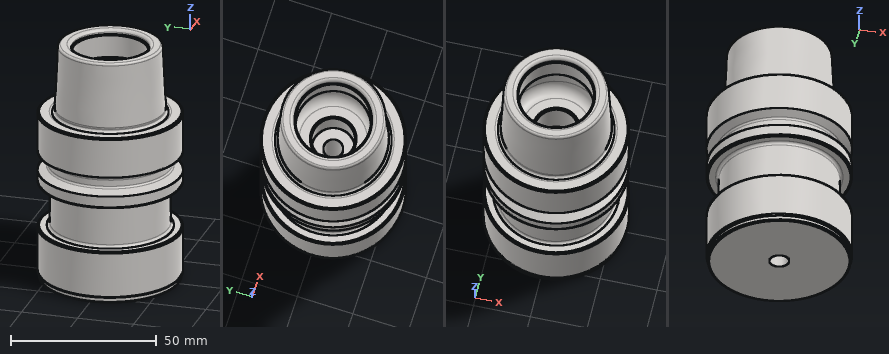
import cadquery as cq
import math

total_height = 85.9
outer_radius = 25.0
edge_chamfer = 0.5

shank_top_radius = 18.0
shank_base_radius = 19.15
shank_base_z = 62.6
shank_top_round = 0.9

relief_radius = 19.0
relief_top_z = 61.9
relief_round = 1.0
relief_round_top_z = 61.8
dish_floor_radius = relief_radius + relief_round
dish_rim_radius = 21.0

flange_top_z = 61.0
flange_bottom_z = 35.05
groove_radius = 21.5
groove_round = 0.9
groove_slope = math.radians(28)
groove_top_z = 46.6
groove_bottom_z = 39.5

neck_radius = 20.8
neck_round = 1.0

nut_height = 19.0
nut_step_radius = 24.5
nut_step_height = 1.9
nut_bottom_chamfer = 0.39
nut_floor = 5.0

collar_radius = neck_radius + neck_round

mouth_radius = 14.9
mouth_round = 1.55
mouth_round_end = 160
lip_radius = 13.3
lip_depth = 1.7
bore_radius = 13.0
bore_straight_depth = 10.05
chamber_radius = 16.0
chamber_slope = math.radians(30)
chamber_floor_radius = 11.7
chamber_round = chamber_radius - chamber_floor_radius
chamber_wall_depth = 19.75

screw_hole_radius = 7.5
screw_hole_depth = 12.0
screw_hole_chamfer = 0.5
through_hole_radius = 3.39


def arc(profile, centre, radius, start_degrees, end_degrees):
    """Continue the profile with a line to the start of an arc, then along the arc."""
    def on_arc(degrees):
        angle = math.radians(degrees)
        return (centre[0] + radius * math.cos(angle), centre[1] + radius * math.sin(angle))

    middle_degrees = (start_degrees + end_degrees) / 2
    profile = profile.lineTo(*on_arc(start_degrees))
    return profile.threePointArc(on_arc(middle_degrees), on_arc(end_degrees))


def revolve_about_z(profile):
    """Close a radius-height profile and turn it a full circle about Z."""
    return profile.close().revolve(360, (0, 0, 0), (0, 1, 0))


def shank_outline(profile):
    """Taper shank, its relief and the dished recess, from the top down."""
    lean = math.degrees(math.atan((shank_base_radius - shank_top_radius) / (total_height - shank_base_z)))
    lean_rise = shank_top_round * math.sin(math.radians(lean))
    round_centre = (shank_top_radius - shank_top_round + lean_rise, total_height - shank_top_round)
    profile = arc(profile, round_centre, shank_top_round, 90, lean)
    profile = profile.lineTo(shank_base_radius, shank_base_z).lineTo(relief_radius, relief_top_z)
    relief_centre = (dish_floor_radius, relief_round_top_z)
    profile = arc(profile, relief_centre, relief_round, 180, 270)
    return profile.lineTo(dish_rim_radius, flange_top_z)


def groove_outline(profile):
    """Gripper groove with sloping sides and rounded inner corners."""
    side_height = (outer_radius - groove_radius) * math.tan(groove_slope)
    corner_offset = groove_round * math.tan((math.pi / 2 - groove_slope) / 2)
    centre_radius = groove_radius + groove_round
    upper_centre = (centre_radius, groove_top_z - side_height - corner_offset)
    lower_centre = (centre_radius, groove_bottom_z + side_height + corner_offset)
    slope_normal = 90 + math.degrees(groove_slope)
    profile = profile.lineTo(outer_radius, groove_top_z)
    profile = arc(profile, upper_centre, groove_round, slope_normal, 180)
    profile = arc(profile, lower_centre, groove_round, 180, 360 - slope_normal)
    return profile.lineTo(outer_radius, groove_bottom_z)


def neck_outline(profile):
    """Neck with a round at each end, and the collar below it."""
    upper_centre = (collar_radius, flange_bottom_z - neck_round)
    lower_centre = (collar_radius, nut_height + neck_round)
    profile = arc(profile, upper_centre, neck_round, 90, 180)
    profile = arc(profile, lower_centre, neck_round, 180, 270)
    return profile.lineTo(collar_radius, nut_floor)


def bore_outline(profile):
    """All the inside steps, from the bottom of the through hole up to the mouth."""
    wall_bottom_z = total_height - chamber_wall_depth
    floor_z = wall_bottom_z - chamber_round
    profile = profile.lineTo(through_hole_radius, nut_floor)
    profile = profile.lineTo(through_hole_radius, floor_z - screw_hole_depth)
    profile = profile.lineTo(screw_hole_radius, floor_z - screw_hole_depth)
    profile = profile.lineTo(screw_hole_radius, floor_z - screw_hole_chamfer)
    profile = profile.lineTo(screw_hole_radius + screw_hole_chamfer, floor_z)
    profile = arc(profile, (chamber_floor_radius, wall_bottom_z), chamber_round, 270, 360)
    shoulder_z = total_height - bore_straight_depth
    shoulder_height = (chamber_radius - bore_radius) * math.tan(chamber_slope)
    profile = profile.lineTo(chamber_radius, shoulder_z - shoulder_height)
    profile = profile.lineTo(bore_radius, shoulder_z)
    step_height = lip_radius - bore_radius
    profile = profile.lineTo(bore_radius, total_height - lip_depth - step_height)
    profile = profile.lineTo(lip_radius, total_height - lip_depth)
    mouth_centre = (mouth_radius, total_height - mouth_round)
    return arc(profile, mouth_centre, mouth_round, mouth_round_end, 90)


def make_holder():
    """Tool holder: shank, grooved flange, neck and collar, with a stepped bore."""
    profile = cq.Workplane("XZ").moveTo(mouth_radius, total_height)
    profile = shank_outline(profile)
    profile = profile.lineTo(outer_radius - edge_chamfer, flange_top_z)
    profile = profile.lineTo(outer_radius, flange_top_z - edge_chamfer)
    profile = groove_outline(profile)
    profile = profile.lineTo(outer_radius, flange_bottom_z + edge_chamfer)
    profile = profile.lineTo(outer_radius - edge_chamfer, flange_bottom_z)
    profile = neck_outline(profile)
    profile = bore_outline(profile)
    return revolve_about_z(profile)


def make_nut():
    """Cup-shaped clamping nut, open at the top for the collar of the holder."""
    step_inset = outer_radius - nut_step_radius
    profile = (
        cq.Workplane("XZ")
        .moveTo(collar_radius, nut_height)
        .lineTo(outer_radius - edge_chamfer, nut_height)
        .lineTo(outer_radius, nut_height - edge_chamfer)
        .lineTo(outer_radius, nut_step_height + step_inset)
        .lineTo(nut_step_radius, nut_step_height)
        .lineTo(nut_step_radius, nut_bottom_chamfer)
        .lineTo(nut_step_radius - nut_bottom_chamfer, 0)
        .lineTo(through_hole_radius, 0)
        .lineTo(through_hole_radius, nut_floor)
        .lineTo(collar_radius, nut_floor)
    )
    return revolve_about_z(profile)


holder = make_holder()
nut = make_nut()

result = cq.Compound.makeCompound([holder.val(), nut.val()])